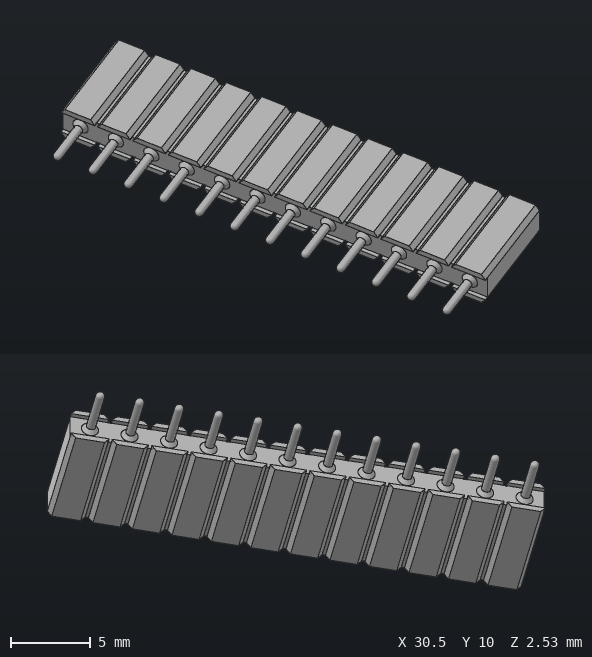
import cadquery as cq
import math

length = 30.48
height = 2.53
total_depth = 10.0
pin_count = 12
pitch = length / pin_count

body_depth = 7.0
lip_thickness = 0.4
lip_overhang = 0.27
slope_width = 0.29
slope_height = 0.37
groove_floor_width = 0.2
groove_depth = lip_thickness

pin_radius = 0.3
collar_radius = 0.55
collar_length = lip_overhang
pin_embedment = 0.3

lip_y = total_depth - body_depth
recess_y = lip_y + lip_overhang
pin_xs = [(i - (pin_count - 1) / 2) * pitch for i in range(pin_count)]
groove_xs = [(i - pin_count / 2) * pitch for i in range(1, pin_count)]


def body_blank():
    """Bar with its four long end corners bevelled like the groove walls."""
    half_length = length / 2
    half_height = height / 2
    flat_x = half_length - slope_width
    bevel_z = half_height - slope_height
    corners = [
        (-half_length, -bevel_z),
        (-flat_x, -half_height),
        (flat_x, -half_height),
        (half_length, -bevel_z),
        (half_length, bevel_z),
        (flat_x, half_height),
        (-flat_x, half_height),
        (-half_length, bevel_z),
    ]
    bar = cq.Workplane("XZ").polyline(corners).close().extrude(-body_depth)
    return bar.translate((0, lip_y, 0))


def groove(x, side):
    """Cutter for one groove with sloped walls above short upright ones.

    side is +1 for a groove in the top face and -1 for one in the bottom face.
    """
    mouth_z = side * height / 2
    floor_z = mouth_z - side * groove_depth
    slope_foot_z = mouth_z - side * slope_height
    floor_half = groove_floor_width / 2
    mouth_half = floor_half + slope_width
    corners = [
        (x - floor_half, floor_z),
        (x - floor_half, slope_foot_z),
        (x - mouth_half, mouth_z),
        (x + mouth_half, mouth_z),
        (x + floor_half, slope_foot_z),
        (x + floor_half, floor_z),
    ]
    return cq.Workplane("XZ").polyline(corners).close().extrude(-total_depth)


def front_recess():
    """Cutter that leaves a lip above and below the pin face."""
    recess_height = height - 2 * lip_thickness
    slot = cq.Workplane("XY").box(length, lip_overhang, recess_height)
    return slot.translate((0, lip_y + lip_overhang / 2, 0))


def pin(x):
    """Round pin with a hemispherical tip and a tapered collar, revolved about its own axis."""
    arc_mid = pin_radius * math.sqrt(0.5)
    embedded_y = recess_y + pin_embedment
    profile = (
        cq.Workplane("XY")
        .moveTo(0, 0)
        .threePointArc((arc_mid, pin_radius - arc_mid), (pin_radius, pin_radius))
        .lineTo(pin_radius, recess_y - collar_length)
        .lineTo(collar_radius, recess_y)
        .lineTo(collar_radius, embedded_y)
        .lineTo(0, embedded_y)
        .close()
    )
    return profile.revolve(360, (0, 0, 0), (0, 1, 0)).translate((x, 0, 0))


result = body_blank().cut(front_recess())
for groove_x in groove_xs:
    for face_side in (1, -1):
        result = result.cut(groove(groove_x, face_side))
for pin_x in pin_xs:
    result = result.union(pin(pin_x))